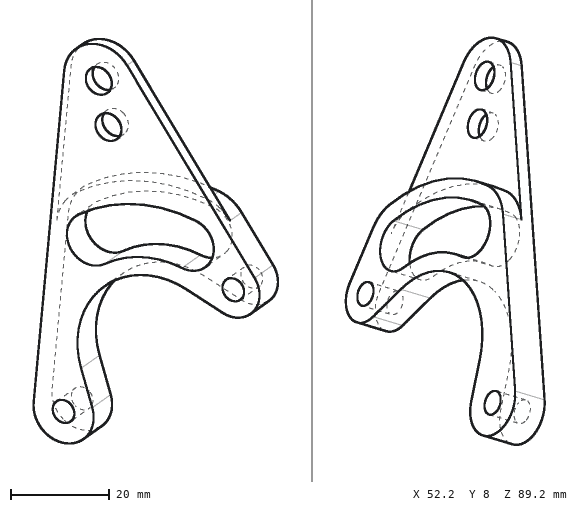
import cadquery as cq
import math

LOWER_CENTER = (0, 0)
LOWER_RADIUS = 7.0
TOP_CENTER = (8.1, 74.2)
TOP_RADIUS = 8.0
RIGHT_CENTER = (39.15, 34.25)
RIGHT_RADIUS = 6.1

RELIEF_CENTER = (21.2, 15.7)
RELIEF_RADIUS = 18.0

MOUNT_HOLE_DIAMETER = 5.0
TOP_HOLE_DIAMETER = 6.0
SECOND_HOLE_CENTER = (10.35, 64.5)

SLOT_PATH_RADIUS = 27.65
SLOT_END_RADIUS = 5.7
PAD_END_RADIUS = 9.7

TOTAL_THICKNESS = 8.0
PLATE_THICKNESS = 3.0

TOUCH_TOLERANCE = 0.0001


def polar(center, radius, degrees):
    angle = math.radians(degrees)
    return (center[0] + radius * math.cos(angle), center[1] + radius * math.sin(angle))


def tangent_line(start, end):
    """End points of the line touching two circles given as (center, radius).

    A positive radius is rounded clockwise, a negative one counterclockwise.
    """
    (start_center, start_radius), (end_center, end_radius) = start, end
    dx = end_center[0] - start_center[0]
    dz = end_center[1] - start_center[1]
    ratio = (start_radius - end_radius) / math.hypot(dx, dz)
    spread = math.acos(max(-1, min(1, ratio)))
    normal = math.degrees(math.atan2(dz, dx) + spread)
    return polar(start_center, start_radius, normal), polar(end_center, end_radius, normal)


def middle_of_turn(circle, arrival, departure):
    """Point halfway along the arc, turning in the sense given by the radius sign."""
    (center_x, center_z), radius = circle
    start = math.atan2(arrival[1] - center_z, arrival[0] - center_x)
    end = math.atan2(departure[1] - center_z, departure[0] - center_x)
    direction = math.copysign(1, -radius)
    sweep = (direction * (end - start)) % math.tau
    return polar((center_x, center_z), abs(radius), math.degrees(start + direction * sweep / 2))


def extrude_back(sketch, thickness):
    return sketch.extrude(-thickness)


def curved_slot(end_radius):
    """Round-ended band following the slot path, through the full thickness."""
    inner = SLOT_PATH_RADIUS - end_radius
    outer = SLOT_PATH_RADIUS + end_radius
    middle_angle = (SLOT_START_ANGLE + SLOT_END_ANGLE) / 2
    sketch = (
        cq.Workplane("XZ")
        .moveTo(*polar(RELIEF_CENTER, inner, SLOT_START_ANGLE))
        .threePointArc(slot_tip(SLOT_START_ANGLE, end_radius, 90),
                       polar(RELIEF_CENTER, outer, SLOT_START_ANGLE))
        .threePointArc(polar(RELIEF_CENTER, outer, middle_angle),
                       polar(RELIEF_CENTER, outer, SLOT_END_ANGLE))
        .threePointArc(slot_tip(SLOT_END_ANGLE, end_radius, -90),
                       polar(RELIEF_CENTER, inner, SLOT_END_ANGLE))
        .threePointArc(polar(RELIEF_CENTER, inner, middle_angle),
                       polar(RELIEF_CENTER, inner, SLOT_START_ANGLE))
        .close()
    )
    return extrude_back(sketch, TOTAL_THICKNESS)


def slot_tip(path_angle, end_radius, turn):
    end_center = polar(RELIEF_CENTER, SLOT_PATH_RADIUS, path_angle)
    return polar(end_center, end_radius, path_angle + turn)


def edge_tangent_angle(edge_start, edge_end):
    """Angle on the slot path where a pad end just touches a straight plate edge."""
    (start_x, start_z), (end_x, end_z) = tangent_line(edge_start, edge_end)
    normal = math.atan2(end_z - start_z, end_x - start_x) + math.pi / 2
    edge_distance = (
        (start_x - RELIEF_CENTER[0]) * math.cos(normal)
        + (start_z - RELIEF_CENTER[1]) * math.sin(normal)
    )
    offset = math.acos((edge_distance - PAD_END_RADIUS) / SLOT_PATH_RADIUS)
    if normal > math.pi / 2:
        offset = -offset
    return math.degrees(normal + offset)


def tangent_outline(circles, thickness):
    """Solid bounded by arcs of the given circles, taken in order, joined by tangent lines."""
    lines = [tangent_line(circles[i - 1], circles[i]) for i in range(len(circles))]
    sketch = cq.Workplane("XZ").moveTo(*lines[0][1])
    for i, circle in enumerate(circles):
        arrival = lines[i][1]
        departure, next_arrival = lines[(i + 1) % len(lines)]
        sketch = sketch.threePointArc(middle_of_turn(circle, arrival, departure), departure)
        if math.dist(departure, next_arrival) > TOUCH_TOLERANCE:
            sketch = sketch.lineTo(*next_arrival)
    return extrude_back(sketch.close(), thickness)


def hole(center, diameter):
    sketch = cq.Workplane("XZ").center(*center).circle(diameter / 2)
    return extrude_back(sketch, TOTAL_THICKNESS)


LOWER_CORNER = (LOWER_CENTER, LOWER_RADIUS)
TOP_CORNER = (TOP_CENTER, TOP_RADIUS)
RIGHT_CORNER = (RIGHT_CENTER, RIGHT_RADIUS)
RELIEF = (RELIEF_CENTER, -RELIEF_RADIUS)

SLOT_START_ANGLE = edge_tangent_angle(LOWER_CORNER, TOP_CORNER)
SLOT_END_ANGLE = edge_tangent_angle(TOP_CORNER, RIGHT_CORNER)
PAD_START = (polar(RELIEF_CENTER, SLOT_PATH_RADIUS, SLOT_START_ANGLE), PAD_END_RADIUS)
PAD_CROWN = (RELIEF_CENTER, SLOT_PATH_RADIUS + PAD_END_RADIUS)
PAD_END = (polar(RELIEF_CENTER, SLOT_PATH_RADIUS, SLOT_END_ANGLE), PAD_END_RADIUS)

plate = tangent_outline([LOWER_CORNER, TOP_CORNER, RIGHT_CORNER, RELIEF], PLATE_THICKNESS)
pad = tangent_outline(
    [LOWER_CORNER, PAD_START, PAD_CROWN, PAD_END, RIGHT_CORNER, RELIEF], TOTAL_THICKNESS
)
result = plate.union(pad)

result = result.cut(curved_slot(SLOT_END_RADIUS))
for hole_center, hole_diameter in [
    (LOWER_CENTER, MOUNT_HOLE_DIAMETER),
    (RIGHT_CENTER, MOUNT_HOLE_DIAMETER),
    (TOP_CENTER, TOP_HOLE_DIAMETER),
    (SECOND_HOLE_CENTER, TOP_HOLE_DIAMETER),
]:
    result = result.cut(hole(hole_center, hole_diameter))